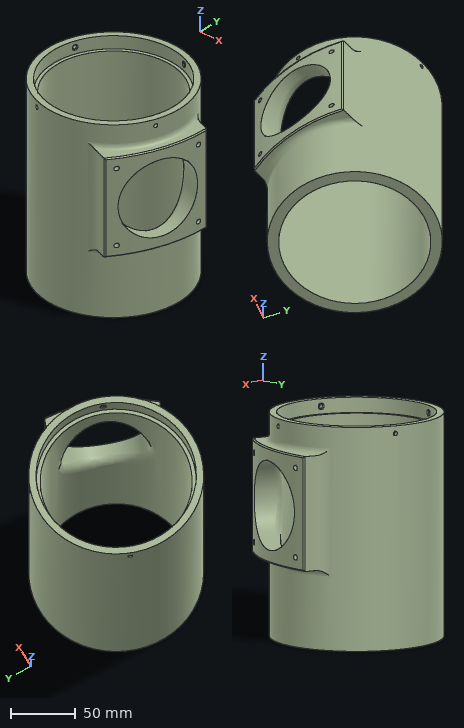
import cadquery as cq
import math

height = 175.5
outer_diameter = 135.0
bore_diameter = 117.0
seat_diameter = 123.4
seat_depth = 12.0

rim_hole_diameter = 3.3
rim_sink_diameter = 5.0
rim_hole_drop = 6.0
rim_hole_count = 4

pad_angle = -20.0
pad_size = 90.0
pad_center_height = 108.1
pad_corner_reach = 67.5
pad_face_radius = 135.0
pad_face_chamfer = 1.0
end_blend_radius = 5.0
side_blend_radius = 15.0

port_diameter = 69.8
port_mouth_radius = 7.0
pad_hole_diameter = 4.0
pad_hole_width_spacing = 72.0
pad_hole_height_spacing = 70.0
pad_hole_depth = 10.0

outer_radius = outer_diameter / 2
half_pad = pad_size / 2
pad_face_sagitta = pad_face_radius - math.sqrt(pad_face_radius**2 - half_pad**2)
pad_reach = pad_corner_reach + pad_face_sagitta
drill_reach = 2 * outer_radius


def radial_plane(distance, level):
    """Plane facing along +X, with local x along +Y and local y along +Z."""
    return cq.Plane(origin=(distance, 0, level), xDir=(0, 1, 0), normal=(1, 0, 0))


def make_pad_block():
    """Square block with the curved outer face, pointing along +X from the tube axis."""
    block = (
        cq.Workplane("XY")
        .workplane(offset=pad_center_height - half_pad)
        .moveTo(0, -half_pad)
        .lineTo(pad_corner_reach, -half_pad)
        .threePointArc((pad_reach, 0), (pad_corner_reach, half_pad))
        .lineTo(0, half_pad)
        .close()
        .extrude(pad_size)
    )
    return block.faces(">X").edges().chamfer(pad_face_chamfer)


def make_side_flare():
    """Tall prism whose sides curve from the pad sides onto the tube."""
    face_setback = 2 * pad_face_chamfer
    center_radius = outer_radius + side_blend_radius
    center_y = half_pad + side_blend_radius
    center_x = math.sqrt(center_radius**2 - center_y**2)
    tube_x = center_x * outer_radius / center_radius
    tube_y = center_y * outer_radius / center_radius
    middle_angle = (math.atan2(-center_y, -center_x) - math.pi / 2) / 2
    middle_x = center_x + side_blend_radius * math.cos(middle_angle)
    middle_y = center_y + side_blend_radius * math.sin(middle_angle)
    return (
        cq.Workplane("XY")
        .moveTo(0, 0)
        .lineTo(tube_x, -tube_y)
        .threePointArc((middle_x, -middle_y), (center_x, -half_pad))
        .lineTo(pad_corner_reach - face_setback, -half_pad)
        .threePointArc((pad_reach - face_setback, 0), (pad_corner_reach - face_setback, half_pad))
        .lineTo(center_x, half_pad)
        .threePointArc((middle_x, middle_y), (tube_x, tube_y))
        .close()
        .extrude(height)
    )


def make_end_flare():
    """Ring about the tube axis whose ends curve from the pad ends onto the tube."""
    blend_end = outer_radius + end_blend_radius
    arc_offset = end_blend_radius * (1 - math.sqrt(0.5))
    root_half = half_pad + end_blend_radius
    return (
        cq.Workplane("XZ", origin=(0, 0, pad_center_height))
        .moveTo(0, -root_half)
        .lineTo(outer_radius, -root_half)
        .threePointArc((outer_radius + arc_offset, -half_pad - arc_offset), (blend_end, -half_pad))
        .lineTo(pad_reach, -half_pad)
        .lineTo(pad_reach, half_pad)
        .lineTo(blend_end, half_pad)
        .threePointArc((outer_radius + arc_offset, half_pad + arc_offset), (outer_radius, root_half))
        .lineTo(0, root_half)
        .close()
        .revolve(360, (0, 0, 0), (0, 1, 0))
    )


def round_port_mouth(body):
    """Round the edge where the port opens into the bore."""
    port_edges = []
    tolerance = 0.02
    for edge in body.edges().vals():
        points = [edge.positionAt(t) for t in (0, 0.3, 0.6)]
        on_bore = all(abs(math.hypot(p.x, p.y) - bore_diameter / 2) < tolerance for p in points)
        on_port = all(
            abs(math.hypot(p.y, p.z - pad_center_height) - port_diameter / 2) < tolerance for p in points
        )
        if on_bore and on_port:
            port_edges.append(edge)
    return body.newObject(port_edges).fillet(port_mouth_radius)


def make_rim_holes():
    """Radial holes, countersunk at 45 degrees from the inside."""
    level = height - rim_hole_drop
    hole_radius = rim_hole_diameter / 2
    sink_radius = rim_sink_diameter / 2
    cone_base = seat_diameter / 2
    cone_tip = cone_base + sink_radius - hole_radius
    hole = (
        cq.Workplane("XZ", origin=(0, 0, level))
        .lineTo(0, sink_radius)
        .lineTo(cone_base, sink_radius)
        .lineTo(cone_tip, hole_radius)
        .lineTo(drill_reach, hole_radius)
        .lineTo(drill_reach, 0)
        .close()
        .revolve(360, (0, 0, 0), (1, 0, 0))
    )
    holes = cq.Workplane("XY")
    for index in range(rim_hole_count):
        holes = holes.add(hole.rotate((0, 0, 0), (0, 0, 1), index * 360 / rim_hole_count))
    return holes.combine()


def make_pad_holes():
    hole_offset = pad_hole_width_spacing / 2
    face_drop = pad_face_radius - math.sqrt(pad_face_radius**2 - hole_offset**2)
    hole_bottom = pad_reach - face_drop - pad_hole_depth
    return (
        cq.Workplane(radial_plane(hole_bottom, pad_center_height))
        .rect(pad_hole_width_spacing, pad_hole_height_spacing, forConstruction=True)
        .vertices()
        .circle(pad_hole_diameter / 2)
        .extrude(drill_reach)
    )


tube = cq.Workplane("XY").circle(outer_radius).extrude(height)
flare = make_side_flare().intersect(make_end_flare())
body = tube.union(flare).union(make_pad_block())

bore = cq.Workplane("XY").circle(bore_diameter / 2).extrude(height)
seat = cq.Workplane("XY").workplane(offset=height - seat_depth).circle(seat_diameter / 2).extrude(seat_depth)
port = cq.Workplane(radial_plane(0, pad_center_height)).circle(port_diameter / 2).extrude(drill_reach)

body = round_port_mouth(body.cut(bore).cut(port))
body = body.cut(seat).cut(make_rim_holes()).cut(make_pad_holes())
result = body.rotate((0, 0, 0), (0, 0, 1), pad_angle)